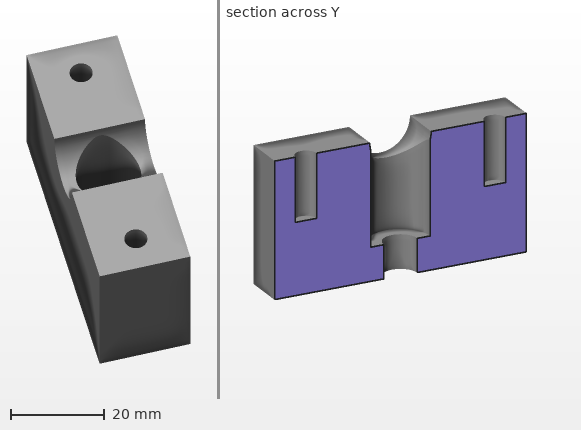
import cadquery as cq

length = 60.0
width = length / 3
height = 32.0

saddle_diameter = 14.5

bore_diameter = 14.0
bore_depth = 24.0
through_diameter = 8.0

side_hole_diameter = 4.9
side_hole_depth = 15.0
side_hole_spacing = 45.0


def vertical_cutter(x, diameter, depth):
    """Cylinder at position x, reaching down from the top face."""
    return cq.Workplane("XY", origin=(x, 0, height)).circle(diameter / 2).extrude(-depth)


block = cq.Workplane("XY").box(length, width, height, centered=(True, True, False))

saddle = (
    cq.Workplane("XZ", origin=(0, 0, height))
    .circle(saddle_diameter / 2)
    .extrude(width / 2, both=True)
)

result = (
    block.cut(saddle)
    .cut(vertical_cutter(0, bore_diameter, bore_depth))
    .cut(vertical_cutter(0, through_diameter, height))
)

for side in (-1, 1):
    hole_x = side * side_hole_spacing / 2
    result = result.cut(vertical_cutter(hole_x, side_hole_diameter, side_hole_depth))